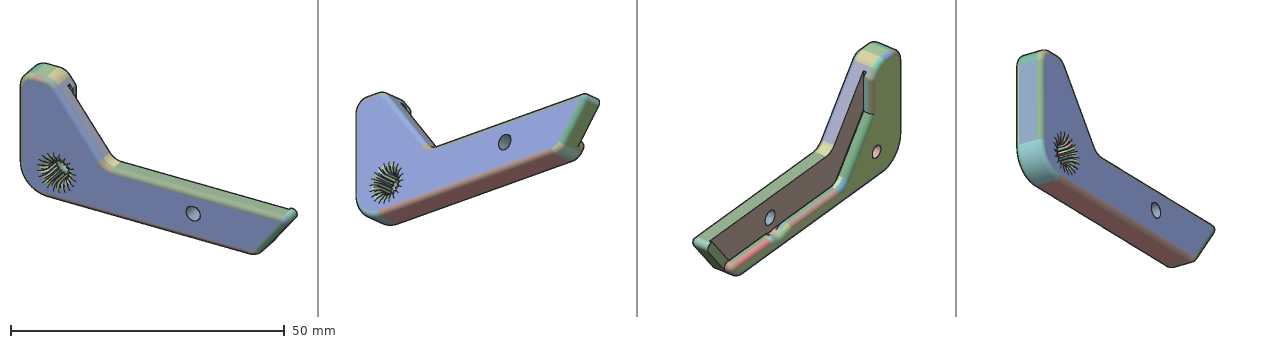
import cadquery as cq
import math

LENGTH = 56.4
HEIGHT = 25.0
THICKNESS = 6.0
ARM_HEIGHT = 10.05
SLOPE_ANGLE = 52.9
SHOULDER_X = 7.0
CORNER_RADIUS = 3.0
HEEL_RADIUS = 6.0
TIP_RADIUS = 1.0
EDGE_RADIUS = 1.0

STEP_Y = 3.95
STEP_HEIGHT = 3.4
STEP_WALL_X = 9.25
STEP_CORNER_X = 17.75

POCKET_DEPTH = 0.55
POCKET_CLEARANCE = 0.7
TIP_LIP = 2.35

ARM_HOLE_X = 36.8
ARM_HOLE_Z = 5.6
ARM_HOLE_DIAMETER = 3.0
RELIEF_RADIUS = 3.05
RELIEF_BLEND_RADIUS = 3.3

SOCKET_X = 8.0
SOCKET_Z = 6.0
SPLINE_TEETH = 20
SPLINE_ROOT_RADIUS = 2.6
SPLINE_CREST_RADIUS = 2.1
SOCKET_DEPTH = 3.95
MOUTH_ROOT_RADIUS = 4.05
MOUTH_CREST_RADIUS = 3.25
MOUTH_DEPTH = 1.0
MOUTH_SECTIONS = 5
SCREW_HOLE_DIAMETER = 2.6
SCREW_HOLE_ROUNDING = 0.5

RISE = math.tan(math.radians(SLOPE_ANGLE))
TIP_CORNER_X = LENGTH + TIP_RADIUS * (1 / math.tan(math.radians(SLOPE_ANGLE / 2)) - 1)


def tip_x(z):
    """X of the raked tip's plane at height z."""
    return TIP_CORNER_X - (ARM_HEIGHT - z) / RISE


def shoulder_z(x):
    """Height of the upper shoulder's plane at x."""
    return HEIGHT - (x - SHOULDER_X) * RISE


def prism(points, y_start, y_end):
    """Solid with an XZ outline, running from y_start to y_end."""
    plane = cq.Workplane("XZ", origin=(0, y_start, 0))
    return plane.polyline(points).close().extrude(y_start - y_end)


def cylinder(x, z, radius, y_start, y_end):
    """Round bar along Y, from y_start to y_end."""
    return cq.Workplane("XZ", origin=(x, y_start, z)).circle(radius).extrude(y_start - y_end)


def round_corner(solid, x, z, radius):
    """Round the edge along Y that lies nearest to (x, z)."""
    edge = cq.selectors.NearestToPointSelector((x, solid.val().Center().y, z))
    return solid.edges("|Y").edges(edge).fillet(radius)


def front_layer():
    corners = [
        (0, 0, HEEL_RADIUS),
        (tip_x(0), 0, CORNER_RADIUS),
        (TIP_CORNER_X, ARM_HEIGHT, TIP_RADIUS),
        (SHOULDER_X + (HEIGHT - ARM_HEIGHT) / RISE, ARM_HEIGHT, CORNER_RADIUS),
        (SHOULDER_X, HEIGHT, CORNER_RADIUS),
        (0, HEIGHT, CORNER_RADIUS),
    ]
    layer = prism([(x, z) for x, z, _ in corners], 0, STEP_Y)
    for x, z, radius in corners:
        layer = round_corner(layer, x, z, radius)
    return layer.faces("<Y").edges().fillet(EDGE_RADIUS)


def back_layer():
    corners = [
        (0, 0, HEEL_RADIUS),
        (tip_x(0), 0, CORNER_RADIUS),
        (tip_x(STEP_HEIGHT), STEP_HEIGHT, TIP_RADIUS),
        (STEP_CORNER_X, STEP_HEIGHT, CORNER_RADIUS),
        (STEP_WALL_X, STEP_HEIGHT + (STEP_CORNER_X - STEP_WALL_X) * RISE, 0),
        (STEP_WALL_X, shoulder_z(STEP_WALL_X), TIP_RADIUS),
        (SHOULDER_X, HEIGHT, CORNER_RADIUS),
        (0, HEIGHT, CORNER_RADIUS),
    ]
    layer = prism([(x, z) for x, z, _ in corners], STEP_Y, THICKNESS)
    for x, z, radius in corners:
        if radius:
            layer = round_corner(layer, x, z, radius)
    layer = layer.cut(cylinder(ARM_HOLE_X, ARM_HOLE_Z, RELIEF_RADIUS, STEP_Y, THICKNESS))
    half_width = math.sqrt(RELIEF_RADIUS**2 - (ARM_HOLE_Z - STEP_HEIGHT) ** 2)
    for side in (-1, 1):
        layer = round_corner(layer, ARM_HOLE_X + side * half_width, STEP_HEIGHT, RELIEF_BLEND_RADIUS)
    return layer.faces(">Y").edges().fillet(EDGE_RADIUS)


def step_pocket():
    floor_z = STEP_HEIGHT - POCKET_CLEARANCE
    wall_x = STEP_WALL_X - POCKET_CLEARANCE
    corner_x = STEP_CORNER_X - POCKET_CLEARANCE * math.tan(math.radians(SLOPE_ANGLE / 2))
    outline = [
        (wall_x, HEIGHT),
        (wall_x, floor_z + (corner_x - wall_x) * RISE),
        (corner_x, floor_z),
        (tip_x(floor_z) - TIP_LIP, floor_z),
        (tip_x(HEIGHT) - TIP_LIP, HEIGHT),
    ]
    return prism(outline, STEP_Y - POCKET_DEPTH, STEP_Y)


def relief_cut():
    """Round relief behind the arm hole, as deep along Y as the step pocket."""
    return cylinder(ARM_HOLE_X, ARM_HOLE_Z, RELIEF_RADIUS, STEP_Y - POCKET_DEPTH, STEP_Y)


def spline_outline(flare):
    """Star of straight-sided teeth: plain at flare 0, widened to the mouth at flare 1."""
    root_radius = SPLINE_ROOT_RADIUS + flare * (MOUTH_ROOT_RADIUS - SPLINE_ROOT_RADIUS)
    crest_radius = SPLINE_CREST_RADIUS + flare * (MOUTH_CREST_RADIUS - SPLINE_CREST_RADIUS)
    points = []
    for i in range(2 * SPLINE_TEETH):
        radius = root_radius if i % 2 else crest_radius
        angle = math.pi * i / SPLINE_TEETH
        points.append((SOCKET_X + radius * math.cos(angle), SOCKET_Z + radius * math.sin(angle)))
    return points


def socket_mouth():
    """Flare that curves from the front face into the straight teeth along a quarter ellipse."""
    mouth = cq.Workplane("XZ")
    depth_so_far = 0
    for i in range(MOUTH_SECTIONS):
        angle = math.pi / 2 * i / (MOUTH_SECTIONS - 1)
        depth = MOUTH_DEPTH * (1 - math.cos(angle))
        mouth = mouth.workplane(offset=depth_so_far - depth)
        mouth = mouth.polyline(spline_outline(1 - math.sin(angle))).close()
        depth_so_far = depth
    return mouth.loft()


def cut_socket(solid):
    """Splined socket with a flared mouth and a rounded screw hole through its floor."""
    solid = solid.cut(prism(spline_outline(0), 0, SOCKET_DEPTH)).cut(socket_mouth())
    hole_radius = SCREW_HOLE_DIAMETER / 2
    solid = solid.cut(cylinder(SOCKET_X, SOCKET_Z, hole_radius, SOCKET_DEPTH, THICKNESS))
    rim = cq.selectors.NearestToPointSelector((SOCKET_X, SOCKET_DEPTH, SOCKET_Z))
    return solid.edges("%CIRCLE").edges(rim).fillet(SCREW_HOLE_ROUNDING)


lever = front_layer().union(back_layer())
lever = lever.cut(step_pocket()).cut(relief_cut())
lever = cut_socket(lever)
result = lever.cut(cylinder(ARM_HOLE_X, ARM_HOLE_Z, ARM_HOLE_DIAMETER / 2, 0, THICKNESS))